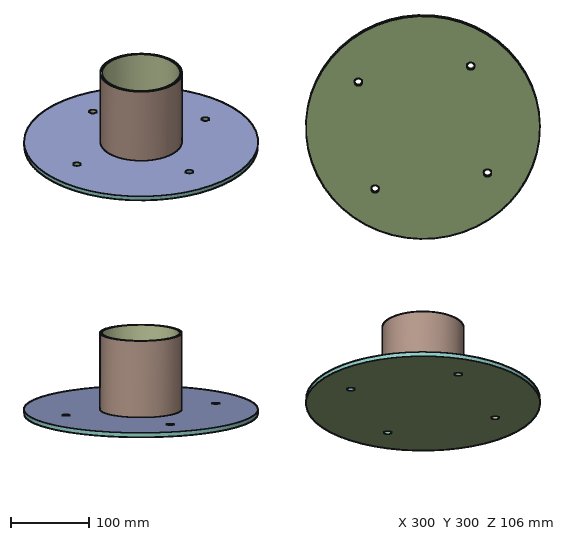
import cadquery as cq

flange_diameter = 300
flange_thickness = 6

tube_outer_diameter = 105
tube_bore_diameter = 100.0
tube_height = 100.0

hole_diameter = 10.0
hole_count = 4
hole_circle_radius = 103.0

flange = (
    cq.Workplane("XY")
    .circle(flange_diameter / 2)
    .extrude(flange_thickness)
)

tube = (
    cq.Workplane("XY")
    .workplane(offset=flange_thickness)
    .circle(tube_outer_diameter / 2)
    .circle(tube_bore_diameter / 2)
    .extrude(tube_height)
)

mounting_holes = (
    cq.Workplane("XY")
    .polarArray(hole_circle_radius, 0, 360, hole_count)
    .circle(hole_diameter / 2)
    .extrude(flange_thickness)
)

result = flange.union(tube).cut(mounting_holes)